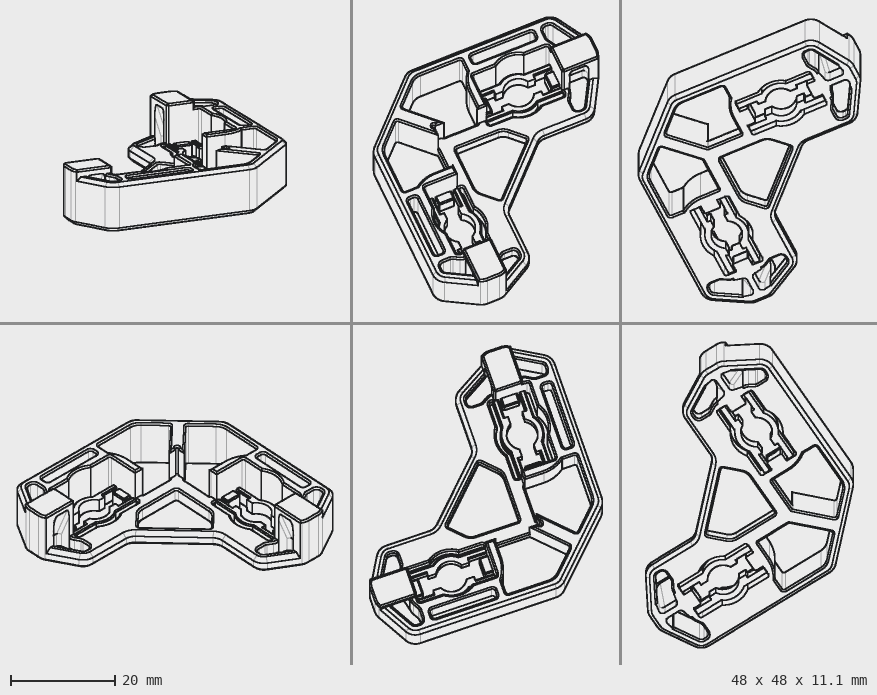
import cadquery as cq
import math

SIZE = 48.0
ARM_WIDTH = 20.0
ARM_CENTRE = ARM_WIDTH / 2
CORNER_CUT = 13.0
INNER_CUT = 12.0
INNER_CORNER = SIZE - ARM_WIDTH - INNER_CUT
NOSE_HALF = 2.0
FLANK_SLOPE = math.tan(math.radians(30))
TIP_RUN = (ARM_CENTRE - NOSE_HALF) * FLANK_SLOPE
DIAGONAL = math.sqrt(2)

PLATE_TOP = 3.1
WALL_TOP = 9.7
BLOCK_TOP = 11.1

OUTER_CHAMFER = 0.75
PLATE_CHAMFER = 0.9
EDGE_CHAMFER = 0.35
OUTLINE_RADIUS = 2.8
INNER_RADIUS = 2.5
WINDOW_RADIUS = 0.9
SMALL_RADIUS = 0.45
FINE_RADIUS = 0.2

BLOCK_HALF_WIDTH = 2.95
BLOCK_SIDE = ARM_CENTRE + BLOCK_HALF_WIDTH
BLOCK_WEB_HALF = 0.6
HOLLOW_TOP = 9.8
HOLLOW_OUTER = (2.5, 2.0)
HOLLOW_INNER = (6.55, 6.0)
HOLLOW_RADIUS = 0.75

CLIP_CENTRE = 16.0
CLIP_HALF_LENGTH = 7.95
CLIP_START = CLIP_CENTRE - CLIP_HALF_LENGTH
CLIP_END = CLIP_CENTRE + CLIP_HALF_LENGTH
CLIP_HALF_WIDTH = 4.1
BULGE_RADIUS = 5.05

CLIP_BOTTOM = 0.4
STRIP_INNER = 2.15
STRIP_OUTER = 3.3
STRIP_CHAMFER = 0.25
HOLE_RADIUS = 3.0
RING_RADIUS = 4.2
PAD_HALF_LENGTH = 4.15
PAD_INNER = 1.45
TAB_LENGTH = 1.8
TAB_HALF_WIDTH = 1.7

RIM = 1.9
SPOKE_HALF = 1.45
BAR_END = 16.05
INNER_WINDOW_END = 7.1
END_WALL_NECK = 0.5
END_WALL = 1.9
END_WALL_BEND = (4.8, 6.66)
END_WALL_RADIUS = 7.0
TIP_WINDOW_END = 7.65
TIP_WINDOW_NECK = 6.6
TIP_WINDOW_BEND = (13.6, 15.4)
TIP_WINDOW_BEND_RADIUS = 2.0
RELIEF_RADIUS = 0.3

RECESS_ALONG = (9.45, 22.65)
RECESS_ACROSS = (RIM, 3.85)
RECESS_RADIUS = 0.6


def arm_point(along, across):
    """Point in the XY plane for a place on the -X arm."""
    return (along - SIZE, -across)


def rounded_profile(corners, z=0.0):
    """Closed outline through (along, across, radius) corners, each rounded by its radius."""
    points = [cq.Vector(*arm_point(along, across)) for along, across, _ in corners]
    path = None
    for i, (_, _, radius) in enumerate(corners):
        corner = points[i]
        back = (points[i - 1] - corner).normalized()
        ahead = (points[(i + 1) % len(points)] - corner).normalized()
        half_angle = back.getAngle(ahead) / 2
        setback = radius / math.tan(half_angle)
        start = corner + back * setback
        end = corner + ahead * setback
        middle = corner + (back + ahead).normalized() * (radius / math.sin(half_angle) - radius)
        if path is None:
            path = cq.Workplane("XY", origin=(0, 0, z)).moveTo(start.x, start.y)
        else:
            path = path.lineTo(start.x, start.y)
        if radius > 0:
            path = path.threePointArc((middle.x, middle.y), (end.x, end.y))
    return path.close()


def round_profile(place, radius, z):
    """Circle around a place on the arm."""
    return cq.Workplane("XY", origin=(*arm_point(*place), z)).circle(radius)


def flared(profile_at, top):
    """Cutter up to a height, flared at 45 degrees there.  profile_at gives the outline at a height."""
    flare = profile_at(top - EDGE_CHAMFER).extrude(EDGE_CHAMFER, taper=-45)
    return profile_at(0).extrude(top).union(flare)


def flared_polygon(corners, top):
    return flared(lambda z: rounded_profile(corners, z), top)


def flared_circle(place, radius, top):
    return flared(lambda z: round_profile(place, radius, z), top)


def window_cutter(corners, top):
    """Window through a slab, flared at both faces."""
    bottom_flare = rounded_profile(corners, EDGE_CHAMFER).extrude(-EDGE_CHAMFER, taper=-45)
    return flared_polygon(corners, top).union(bottom_flare)


def rectangle(along, across, radius):
    """Corners of a rectangle between pairs of limits."""
    return [
        (along[0], across[0], radius),
        (along[1], across[0], radius),
        (along[1], across[1], radius),
        (along[0], across[1], radius),
    ]


def arm_box(along, across, top):
    """Box from the underside up, between pairs of limits."""
    return rounded_profile(rectangle(along, across, 0)).extrude(top)


def about_centre(half_width):
    return (ARM_CENTRE - half_width, ARM_CENTRE + half_width)


def flip_across(shape):
    """Mirror a shape about the centre line of the -X arm."""
    return shape.mirror("XZ", (0, -ARM_CENTRE, 0))


def on_both_sides(shape):
    return shape.union(flip_across(shape))


def on_both_arms(shape):
    """The shape on the -X arm together with its mirror image on the -Y arm."""
    return shape.union(shape.mirror((1, -1, 0)))


def mirrored_corners(corners):
    """Corners on the -Y arm, in the order that continues the outline."""
    return [(SIZE - across, SIZE - along, radius) for along, across, radius in reversed(corners)]


def outline_corners():
    nose_near, nose_far = about_centre(NOSE_HALF)
    half = [
        (INNER_CORNER, ARM_WIDTH, INNER_RADIUS),
        (TIP_RUN, ARM_WIDTH, OUTLINE_RADIUS),
        (0, nose_far, OUTLINE_RADIUS),
        (0, nose_near, OUTLINE_RADIUS),
        (TIP_RUN, 0, OUTLINE_RADIUS),
        (SIZE - CORNER_CUT, 0, OUTLINE_RADIUS),
    ]
    return half + mirrored_corners(half)


def corner_window():
    """Window between the outer wall, the spoke and the wall behind the clip opening."""
    neck = CLIP_END + END_WALL_NECK
    wide = CLIP_END + END_WALL
    cut_side = SIZE - CORNER_CUT - RIM * DIAGONAL
    spoke = SIZE - SPOKE_HALF * DIAGONAL
    return [
        (neck, RIM, SMALL_RADIUS),
        (cut_side + RIM, RIM, OUTLINE_RADIUS),
        ((spoke + cut_side) / 2, (spoke - cut_side) / 2, SMALL_RADIUS),
        (spoke - BLOCK_SIDE, BLOCK_SIDE, FINE_RADIUS),
        (wide, BLOCK_SIDE, FINE_RADIUS),
        (wide, END_WALL_BEND[1], END_WALL_RADIUS),
        (neck, END_WALL_BEND[0], SMALL_RADIUS),
    ]


def inner_window():
    """Window on the mirror plane, between the low bars and the inner diagonal."""
    long_side = ARM_WIDTH - INNER_CORNER - RIM * DIAGONAL
    short_end = SIZE - INNER_WINDOW_END * DIAGONAL
    half = [
        ((short_end - long_side) / 2, (short_end + long_side) / 2, SMALL_RADIUS),
        (short_end - BAR_END, BAR_END, INNER_RADIUS),
    ]
    bar_corner = [(SIZE - BAR_END, BAR_END, SMALL_RADIUS)]
    return half + bar_corner + mirrored_corners(half)


def tip_window():
    """Window between the flank, the block and the clip opening."""
    far = ARM_WIDTH - RIM
    bend_near, bend_far = TIP_WINDOW_BEND
    flank_at_side = TIP_RUN + RIM / math.cos(math.atan(FLANK_SLOPE))
    return [
        (flank_at_side - (ARM_WIDTH - BLOCK_SIDE) * FLANK_SLOPE, BLOCK_SIDE, 0),
        (flank_at_side - RIM * FLANK_SLOPE, far, WINDOW_RADIUS),
        (TIP_WINDOW_END, far, WINDOW_RADIUS),
        (TIP_WINDOW_END, bend_far, WINDOW_RADIUS),
        (TIP_WINDOW_NECK, bend_near, TIP_WINDOW_BEND_RADIUS),
        (TIP_WINDOW_NECK, BLOCK_SIDE, 0),
    ]


def clip_opening(top):
    corners = rectangle((CLIP_START, CLIP_END), about_centre(CLIP_HALF_WIDTH), SMALL_RADIUS)
    bulge = flared_circle((CLIP_CENTRE, ARM_CENTRE), BULGE_RADIUS, top)
    return flared_polygon(corners, top).union(bulge)


def layer(top, top_chamfer):
    """Slab of one height with all windows and clip openings cut through it."""
    slab = rounded_profile(outline_corners()).extrude(top)
    slab = slab.faces("<Z").chamfer(OUTER_CHAMFER).faces(">Z").chamfer(top_chamfer)
    tip_windows = on_both_sides(window_cutter(tip_window(), top))
    openings = window_cutter(corner_window(), top).union(tip_windows).union(clip_opening(top))
    return slab.cut(window_cutter(inner_window(), top)).cut(on_both_arms(openings))


def low_area():
    """Space inside the walls, up to the middle of the block, with a relief at the spoke."""
    corner = SIZE - BLOCK_SIDE
    area = flared_polygon(rectangle((-SIZE, corner), (BLOCK_SIDE, 2 * SIZE), 0), WALL_TOP)
    area = area.union(arm_box((0, CLIP_START), (ARM_CENTRE, BLOCK_SIDE), WALL_TOP))
    return area.union(flared_circle((corner, BLOCK_SIDE), RELIEF_RADIUS, WALL_TOP))


def recess():
    """Long recess with rounded corners, as deep as the walls stand above the plate."""
    cutter = flared_polygon(rectangle(RECESS_ALONG, RECESS_ACROSS, RECESS_RADIUS), WALL_TOP)
    return cutter.cut(arm_box((0, SIZE), (0, ARM_WIDTH), PLATE_TOP))


def block():
    envelope = rounded_profile(outline_corners()).extrude(BLOCK_TOP)
    envelope = envelope.faces("<Z").chamfer(OUTER_CHAMFER)
    body = arm_box((0, CLIP_START), about_centre(BLOCK_HALF_WIDTH), BLOCK_TOP).intersect(envelope)
    body = body.faces(">X").edges("|Z").chamfer(EDGE_CHAMFER)
    return body.faces(">Z").chamfer(EDGE_CHAMFER)


def hollow():
    """Space under a sloping roof that rises from the block's web to its side."""
    web = ARM_CENTRE + BLOCK_WEB_HALF
    plan = [
        (HOLLOW_OUTER[0], BLOCK_SIDE, 0),
        (HOLLOW_OUTER[1], web, 0),
        (HOLLOW_INNER[1], web, 0),
        (HOLLOW_INNER[0], BLOCK_SIDE, 0),
    ]
    section = [(-web, 0), (-web, PLATE_TOP), (-BLOCK_SIDE, HOLLOW_TOP), (-BLOCK_SIDE, 0)]
    roof = cq.Workplane("YZ", origin=(-SIZE, 0, 0)).polyline(section).close().extrude(SIZE)
    space = rounded_profile(plan).extrude(HOLLOW_TOP).intersect(roof)
    side_edges = space.faces(">Y").edges("|Z")
    roof_edges = space.faces(">Z").edges("not |X")
    return side_edges.add(roof_edges).fillet(HOLLOW_RADIUS)


def clip():
    span = (CLIP_START, CLIP_END)
    centre = (CLIP_CENTRE, ARM_CENTRE)
    strip = arm_box(span, (ARM_CENTRE + STRIP_INNER, ARM_CENTRE + STRIP_OUTER), PLATE_TOP)
    strip = strip.faces(">Z").edges("|X").chamfer(STRIP_CHAMFER)
    ring = round_profile(centre, RING_RADIUS, 0).extrude(PLATE_TOP).faces(">Z").chamfer(STRIP_CHAMFER)
    ring = ring.cut(arm_box(span, about_centre(STRIP_INNER), PLATE_TOP))
    pad_span = (CLIP_CENTRE - PAD_HALF_LENGTH, CLIP_CENTRE + PAD_HALF_LENGTH)
    pad_middle = ARM_CENTRE + (STRIP_INNER + STRIP_OUTER) / 2
    pad = arm_box(pad_span, (ARM_CENTRE + PAD_INNER, pad_middle), PLATE_TOP)
    hole = round_profile(centre, HOLE_RADIUS, 0).extrude(PLATE_TOP)
    clearance = arm_box(span, (0, ARM_WIDTH), CLIP_BOTTOM)
    return ring.union(on_both_sides(strip.union(pad))).cut(hole).cut(clearance)


def tabs():
    tab = arm_box((CLIP_START, CLIP_START + TAB_LENGTH), about_centre(TAB_HALF_WIDTH), PLATE_TOP)
    tab = tab.faces(">X").edges("|Z").chamfer(STRIP_CHAMFER)
    tab = tab.faces(">Z").edges("not <X").chamfer(STRIP_CHAMFER)
    return tab.union(tab.mirror("YZ", arm_point(CLIP_CENTRE, ARM_CENTRE) + (0,)))


walls = layer(WALL_TOP, OUTER_CHAMFER).cut(on_both_arms(low_area().union(recess())))
plate = layer(PLATE_TOP, PLATE_CHAMFER)
fittings = block().union(clip()).union(tabs())
result = walls.union(plate, clean=False).union(on_both_arms(fittings), clean=False)
result = result.cut(on_both_arms(on_both_sides(hollow())), clean=False).clean()